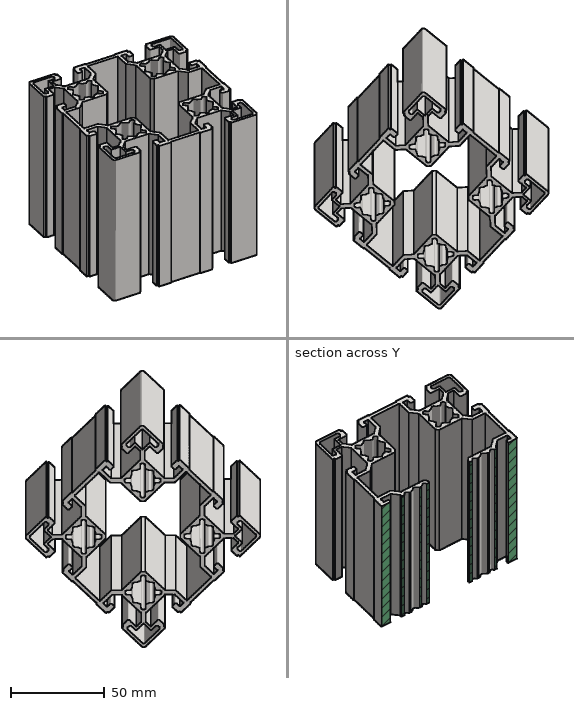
import cadquery as cq
import math

side = 90.0
length = 90.0
half_side = side / 2
cell_center = side / 4

mouth_half = 5.9
mouth_depth = 1.3
throat_half = 5.0
lip_depth = 6.0
lip_width = 3.1
lip_fillet = 0.6
cavity_half = 11.0
flange_thickness = 3.0

core_half = 9.2
core_chamfer = 1.5
strut_offset = 1.8

pad_end = 36.0
wall_recess = 0.45
wall_inner = 2.6
hollow_edge = 35.6

corner_radius = 1.5
pocket_wall = 1.7
pocket_arm_width = 2.7
pocket_arm_end = 14.5
pocket_inner = 10.1
pocket_fillet = 0.9

bore_radius = 6.75
lobe_radius = 1.35
lobe_center = 5.9
notch_tip = 8.3
notch_fillet = 1.35
crest_fillet = 0.4

slot_left = cell_center - throat_half
slot_right = cell_center + throat_half
mouth_left = cell_center - mouth_half
mouth_right = cell_center + mouth_half
cavity_left = cell_center - cavity_half
cavity_right = cell_center + cavity_half
hook_end = slot_right + lip_width
core_near = cell_center - core_half
core_far = cell_center + core_half


def mirrored(points):
    """The same points reflected in u = v, in reverse order."""
    return [(v, u) for u, v in reversed(points)]


def fillet_edges_at(body, points, radius):
    """Round the lengthwise edges that pass through the given points."""
    reach = 0.045
    edges = []
    for u, v in points:
        box = cq.selectors.BoxSelector(
            (u - reach, v - reach, 0), (u + reach, v + reach, length)
        )
        edges += body.edges("|Z").edges(box).vals()
    return body.newObject(edges).fillet(radius)


def cell_blank():
    """One cell without its corner pocket and bore."""
    strut_near = core_near + strut_offset
    strut_far = core_far - strut_offset
    strut_rise = strut_near - cavity_left
    slot_outline = [
        (mouth_left, 0),
        (mouth_left, mouth_depth),
        (slot_left, mouth_depth),
        (slot_left, lip_depth),
        (cavity_left, lip_depth),
        (cavity_left, core_near - strut_rise),
        (strut_near, core_near),
        (strut_far, core_near),
        (cavity_right, core_near - strut_rise),
        (cavity_right, flange_thickness),
        (hook_end, flange_thickness),
        (hook_end, lip_depth),
        (slot_right, lip_depth),
        (slot_right, mouth_depth),
        (mouth_right, mouth_depth),
        (mouth_right, 0),
    ]
    inner_outline = [
        (pad_end, 0),
        (pad_end, wall_recess),
        (half_side, wall_recess),
        (half_side, wall_inner),
        (hollow_edge, wall_inner),
        (hollow_edge, strut_near - (hollow_edge - core_far)),
        (core_far, strut_near),
        (core_far, core_far - core_chamfer),
    ]
    half_outline = slot_outline + inner_outline
    outline = [(0, 0)] + half_outline + mirrored(half_outline)
    blank = cq.Workplane("XY").polyline(outline).close().extrude(length)

    lip_corners = [(slot_left, lip_depth), (slot_right, lip_depth), (hook_end, lip_depth)]
    blank = fillet_edges_at(blank, lip_corners + mirrored(lip_corners), lip_fillet)
    return fillet_edges_at(blank, [(0, 0)], corner_radius)


def corner_pocket():
    """L-shaped hollow behind the outer corner."""
    arm_inner = pocket_wall + pocket_arm_width
    half_outline = [
        (pocket_arm_end, pocket_wall),
        (pocket_arm_end, arm_inner),
        (pocket_inner, arm_inner),
    ]
    outline = [(pocket_wall, pocket_wall)] + half_outline + [(pocket_inner, pocket_inner)]
    outline += mirrored(half_outline)
    pocket = cq.Workplane("XY").polyline(outline).close().extrude(length)
    arm_ends = half_outline[:2]
    rounded = [(pocket_wall, pocket_wall)] + arm_ends + mirrored(arm_ends)
    return fillet_edges_at(pocket, rounded, pocket_fillet)


def lies_on_bore_circle(edge):
    """True for a lengthwise edge at the bore radius from the bore axis."""
    tolerance = 0.01
    center = edge.Center()
    return abs(math.hypot(center.x, center.y) - bore_radius) < tolerance


def core_bore():
    """Round bore with a rounded lobe on each diagonal and a V notch on each axis."""
    lobe_span = 2 * math.hypot(lobe_center, lobe_center)
    bore = cq.Workplane("XY").circle(bore_radius).extrude(length)
    for angle in (45, 135):
        lobes = cq.Workplane("XY").slot2D(lobe_span + 2 * lobe_radius, 2 * lobe_radius, angle)
        bore = bore.union(lobes.extrude(length))
    notches = (
        cq.Workplane("XY")
        .polyline([(0, -notch_tip), (notch_tip, 0), (0, notch_tip), (-notch_tip, 0)])
        .close()
        .extrude(length)
        .edges("|Z")
        .fillet(notch_fillet)
    )
    bore = bore.union(notches)
    ridges = bore.edges("|Z").filter(lies_on_bore_circle)
    return ridges.fillet(crest_fillet).translate((cell_center, cell_center, 0))


cell = cell_blank().cut(corner_pocket()).cut(core_bore())
cell = cell.translate((-half_side, -half_side, -length / 2))
half_profile = cell.union(cell.mirror("YZ"))
result = half_profile.union(half_profile.mirror("XZ"))